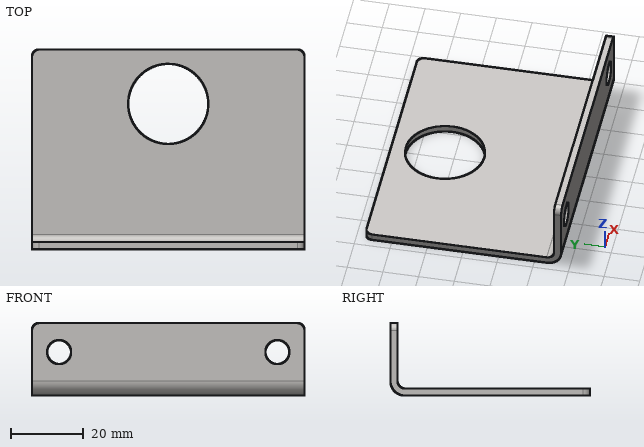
import cadquery as cq

width = 75.0
depth = 55.0
height = 20.0

thickness = 2.0
inner_bend_radius = 2.0
outer_bend_radius = inner_bend_radius + thickness
corner_radius = 2.0

opening_diameter = 22.0
opening_from_back = 15.0

mount_hole_diameter = 6.5
mount_hole_from_side = 7.5
mount_hole_height = 12.0


def bent_sheet():
    """L-shaped sheet: base on Z = 0, flange along the front at Y = 0, centred on X."""
    outside = (
        cq.Workplane("XY")
        .box(width, depth, height, centered=(True, False, False))
        .edges("|X and <Y and <Z")
        .fillet(outer_bend_radius)
    )
    inside = (
        cq.Workplane("XY")
        .box(width, depth, height, centered=(True, False, False))
        .edges("|X and <Y and <Z")
        .fillet(inner_bend_radius)
        .translate((0, thickness, thickness))
    )
    return outside.cut(inside)


def round_corners(sheet):
    """Round the two rear corners of the base and the two top corners of the flange."""
    sheet = sheet.edges("|Z and >Y").fillet(corner_radius)
    return sheet.edges("|Y and >Z").fillet(corner_radius)


def base_opening():
    return (
        cq.Workplane("XY")
        .center(0, depth - opening_from_back)
        .circle(opening_diameter / 2)
        .extrude(thickness)
    )


def mount_holes():
    hole_x = width / 2 - mount_hole_from_side
    return (
        cq.Workplane("XZ")
        .pushPoints([(side * hole_x, mount_hole_height) for side in (-1, 1)])
        .circle(mount_hole_diameter / 2)
        .extrude(-thickness)
    )


bracket = round_corners(bent_sheet())
result = bracket.cut(base_opening()).cut(mount_holes())